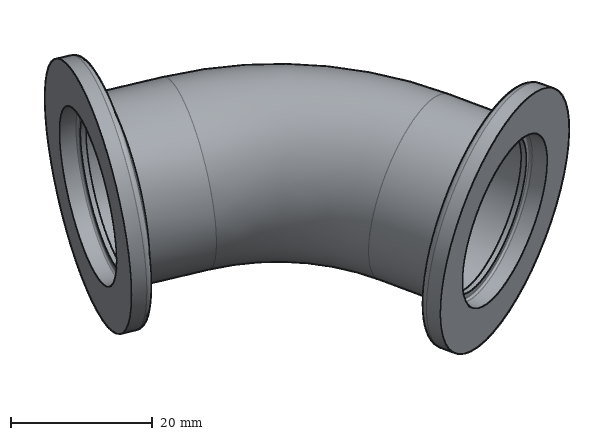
import cadquery as cq
import math

bend_angle = 45.0
bend_radius = 42.2
leg_length = 14.5
tube_outer_radius = 14.0
tube_inner_radius = 12.65

flange_radius = 20.0
flange_height = 4.6
cone_angle = 15.0
rim_fillet = 1.0

recess_radius = 13.15
recess_depth = 2.75
recess_fillet = 0.35

lip_radius = 12.05
lip_thickness = 0.8

cone_drop = (flange_radius - tube_outer_radius) * math.tan(math.radians(cone_angle))
rim_height = flange_height - cone_drop

turn = math.radians(bend_angle)
end_direction = cq.Vector(math.sin(turn), math.cos(turn), 0)
bend_end = cq.Vector(
    bend_radius * (1 - math.cos(turn)),
    leg_length + bend_radius * math.sin(turn),
    0,
)
end_center = bend_end + end_direction * leg_length

start_plane = cq.Plane(origin=(0, 0, 0), xDir=(1, 0, 0), normal=(0, 1, 0))
end_plane = cq.Plane(origin=end_center, xDir=(0, 0, 1), normal=end_direction * -1)
end_planes = (start_plane, end_plane)


def elbow_core(radius, end_inset=0):
    """Solid rod along the centreline, stopping end_inset short of each end face."""
    rod = (
        cq.Workplane(start_plane)
        .workplane(offset=leg_length)
        .circle(radius)
        .revolve(bend_angle, (bend_radius, 0, 0), (bend_radius, 1, 0))
    )
    for plane in end_planes:
        leg = (
            cq.Workplane(plane)
            .workplane(offset=end_inset)
            .circle(radius)
            .extrude(leg_length - end_inset)
        )
        rod = rod.union(leg)
    return rod


def flange():
    """Flange with its face at Z = 0 and its conical back facing +Z."""
    return (
        cq.Workplane("XZ")
        .lineTo(flange_radius, 0)
        .lineTo(flange_radius, rim_height)
        .lineTo(tube_outer_radius, flange_height)
        .lineTo(0, flange_height)
        .close()
        .revolve(360, (0, 0, 0), (0, 1, 0))
        .edges(cq.selectors.RadiusNthSelector(-1))
        .edges(">Z")
        .fillet(rim_fillet)
    )


def end_opening():
    """Cutter from Z = 0 inwards: recess with a rounded floor corner, then the lip opening."""
    recess = (
        cq.Workplane("XY")
        .circle(recess_radius)
        .extrude(recess_depth)
        .faces(">Z")
        .edges()
        .fillet(recess_fillet)
    )
    lip_opening = cq.Workplane("XY").circle(lip_radius).extrude(recess_depth + lip_thickness)
    return recess.union(lip_opening)


def at_plane(body, plane):
    """Move a body from the XY plane onto an end face."""
    return cq.Workplane(body.val().located(cq.Location(plane)))


result = elbow_core(tube_outer_radius)
for plane in end_planes:
    result = result.union(at_plane(flange(), plane))
result = result.cut(elbow_core(tube_inner_radius, recess_depth + lip_thickness))
for plane in end_planes:
    result = result.cut(at_plane(end_opening(), plane))